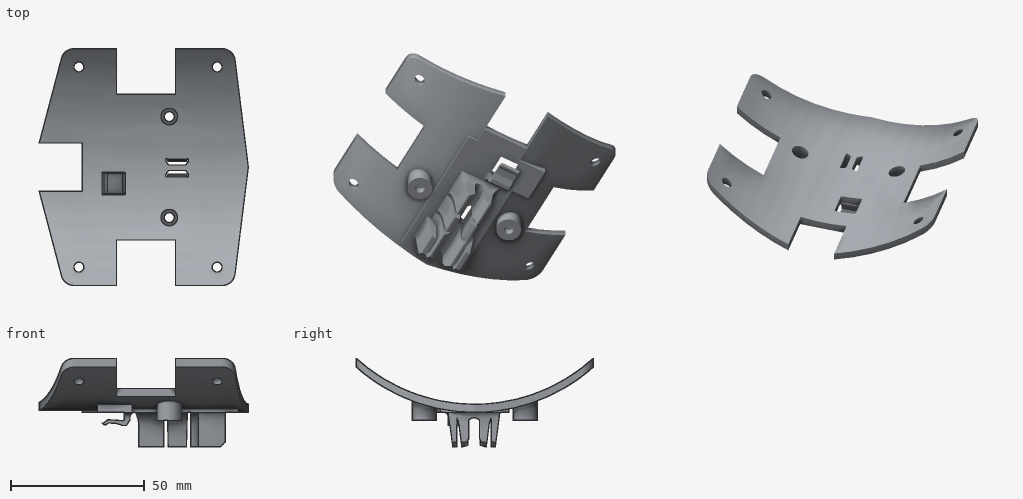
import cadquery as cq

LENGTH_X = 78.45
WIDTH_Y = 88.8
WALL = 3.0
INNER_RADIUS = 65.9
OUTER_RADIUS = 66.7
ABOVE = 26.65

HALF_WIDTH = WIDTH_Y / 2
CORNER_LEFT_X = 9.3
CORNER_RIGHT_X = 72.9
CORNER_RADIUS = 5.0
LEFT_NOTCH_DEPTH = 16.2
LEFT_NOTCH_HALF = 9.0
SIDE_NOTCH_X = (29.05, 51.1)
SIDE_NOTCH_Y = 27.4

CORNER_HOLES_X = (14.9, 66.7)
CORNER_HOLES_Y = 37.5
HOLE_DIAMETER = 3.6
BOSS_X = 48.8
BOSS_Y = 18.9
BOSS_DIAMETER = 9.15
BOSS_DROP = 3.0
HEAD_DIAMETER = 6.2
HEAD_SEAT_Z = 0

PAD_X = (21.85, 74.6)
PAD_HALF_Y = 12.8
NECK_X = (LEFT_NOTCH_DEPTH, PAD_X[0])
TAB_X = (PAD_X[0], 34.8)
TAB_Y = -19.7

RAIL_Y = -0.3
RAIL_DROP = 13.0
RAIL_TOP = 0.4
RAIL_INNER = 1.95
RAIL_TIP = 4.1
RAIL_OUTER = 4.6
RAIL_BEND = (5.7, -4.6)
RAIL_ROOT = 8.1
LEAD_IN_Z = -9.95
ARCH_SPRING_Z = -2.9
ARCH_TOP_Z = -2.1
ARCH_RADIUS = 2.8
FRONT_RAIL_X = (37.3, 46.7)
REAR_RAIL_X = (56.8, 69.8)
FLARE = 1.2
FLARE_DROP = 5.0

FINGER_X = (48.1, 55.6)
FINGER_TIP_X = (48.3, 55.3)
BARB = 2.3
BARB_END_Z = -12.35
OPENING_OUTER = 3.4
OPENING_SHOULDER = 2.5
OPENING_INNER = 1.1
OPENING_X = (47.5, 56.0)
OPENING_TAPER = 1.0

PLATE_X = (59.8, REAR_RAIL_X[1])
PLATE_INNER = 6.4
PLATE_ROOT = 9.6
PLATE_TIP = 8.0
PLATE_FLARE = 0.8
END_CHAMFER = 1.9

WINDOW_X = (23.6, 32.3)
WINDOW_Y = (-10.3, -1.95)
HOOK_Y = (-9.95, -2.3)
HOOK_STEM_X = (31.9, 34.1)
HOOK_HEEL_Z = -3.0
HOOK_ARM = (
    (31.9, -2.75),
    (31.3, -3.1),
    (27.7, -2.8),
    (25.7, -2.75),
    (24.3, -3.9),
    (23.6, -4.1),
    (24.25, -4.7),
    (25.05, -4.7),
    (26.0, -4.1),
    (28.8, -4.2),
    (31.2, -5.0),
    (32.7, -5.0),
)
HOOK_FILLET = 1.9


def box(x_range, y_range, z_range):
    size = [high - low for low, high in (x_range, y_range, z_range)]
    corner = (x_range[0], y_range[0], z_range[0])
    return cq.Workplane("XY").box(*size, centered=False).translate(corner)


def post(x, y, diameter, bottom, top):
    return cq.Workplane("XY", origin=(x, y, bottom)).circle(diameter / 2).extrude(top - bottom)


def long_cylinder(radius, lowest_z):
    """Solid cylinder along X, longer than the part, whose lowest line is at lowest_z."""
    plane = cq.Workplane("YZ", origin=(-0.9, 0, lowest_z + radius))
    return plane.circle(radius).extrude(LENGTH_X + 1.8)


def mirrored(solid):
    """The solid, drawn with Y = 0 as the gripper centre, plus its mirror image."""
    return solid.union(solid.mirror("XZ")).translate((0, RAIL_Y, 0))


def make_shell():
    plan = (
        cq.Workplane("XY")
        .polyline([
            (0, -LEFT_NOTCH_HALF),
            (CORNER_LEFT_X, -HALF_WIDTH),
            (CORNER_RIGHT_X, -HALF_WIDTH),
            (LENGTH_X, 0),
            (CORNER_RIGHT_X, HALF_WIDTH),
            (CORNER_LEFT_X, HALF_WIDTH),
            (0, LEFT_NOTCH_HALF),
            (LEFT_NOTCH_DEPTH, LEFT_NOTCH_HALF),
            (LEFT_NOTCH_DEPTH, -LEFT_NOTCH_HALF),
        ])
        .close()
        .extrude(ABOVE)
    )
    plan = plan.edges("|Z and (>Y or <Y)").fillet(CORNER_RADIUS)
    for side in (-1, 1):
        notch_y = sorted((side * SIDE_NOTCH_Y, side * WIDTH_Y))
        plan = plan.cut(box(SIDE_NOTCH_X, notch_y, (0, ABOVE)))
    return plan.intersect(long_cylinder(OUTER_RADIUS, 0))


def make_pad():
    pad = box(PAD_X, (-PAD_HALF_Y, PAD_HALF_Y), (0, WALL))
    neck = box(NECK_X, (-LEFT_NOTCH_HALF, LEFT_NOTCH_HALF), (0, WALL))
    return pad.union(neck).union(box(TAB_X, (TAB_Y, 0), (0, WALL)))


def rail_section(x):
    """Half section of a rail pair: an arched root with one tapering leg."""
    return (
        cq.Workplane("YZ", origin=(x, 0, 0))
        .moveTo(0, RAIL_TOP)
        .lineTo(0, ARCH_TOP_Z)
        .radiusArc((RAIL_INNER, ARCH_SPRING_Z), ARCH_RADIUS)
        .lineTo(RAIL_INNER, LEAD_IN_Z)
        .lineTo(RAIL_TIP, -RAIL_DROP)
        .lineTo(RAIL_OUTER, -RAIL_DROP)
        .lineTo(*RAIL_BEND)
        .tangentArcPoint((RAIL_ROOT, 0), relative=False)
        .lineTo(RAIL_ROOT, RAIL_TOP)
        .close()
    )


def make_front_rails():
    start = FRONT_RAIL_X[0] - FLARE
    rail = rail_section(start).extrude(FRONT_RAIL_X[1] - start)
    relief = (
        cq.Workplane("XZ", origin=(0, WIDTH_Y, 0))
        .moveTo(start, 0)
        .lineTo(start, -2 * RAIL_DROP)
        .lineTo(FRONT_RAIL_X[0], -2 * RAIL_DROP)
        .lineTo(FRONT_RAIL_X[0], -FLARE_DROP)
        .tangentArcPoint((start, 0), relative=False)
        .close()
        .extrude(2 * WIDTH_Y)
    )
    return mirrored(rail.cut(relief))


def end_chamfer():
    """Triangular prism that bevels the lower far end of the rear rails and plates."""
    end_x = PLATE_X[1]
    return (
        cq.Workplane("XZ", origin=(0, WIDTH_Y, 0))
        .polyline([
            (end_x - END_CHAMFER, -RAIL_DROP),
            (end_x, -RAIL_DROP),
            (end_x, -RAIL_DROP + END_CHAMFER),
        ])
        .close()
        .extrude(2 * WIDTH_Y)
    )


def make_rear_rails():
    rail = rail_section(REAR_RAIL_X[0]).extrude(REAR_RAIL_X[1] - REAR_RAIL_X[0])
    return mirrored(rail.cut(end_chamfer()))


def make_fingers():
    section = (
        cq.Workplane("YZ", origin=(FINGER_X[0], 0, 0))
        .moveTo(OPENING_OUTER, RAIL_TOP)
        .lineTo(BARB, LEAD_IN_Z)
        .lineTo(BARB, BARB_END_Z)
        .lineTo(RAIL_TIP, -RAIL_DROP)
        .lineTo(RAIL_OUTER, -RAIL_DROP)
        .lineTo(*RAIL_BEND)
        .tangentArcPoint((RAIL_ROOT, 0), relative=False)
        .lineTo(RAIL_ROOT, RAIL_TOP)
        .close()
        .extrude(FINGER_X[1] - FINGER_X[0])
    )
    taper = (
        cq.Workplane("XZ", origin=(0, WIDTH_Y, 0))
        .polyline([
            (FINGER_X[0], RAIL_TOP),
            (FINGER_X[1], RAIL_TOP),
            (FINGER_TIP_X[1], -RAIL_DROP),
            (FINGER_TIP_X[0], -RAIL_DROP),
        ])
        .close()
        .extrude(2 * WIDTH_Y)
    )
    return mirrored(section.intersect(taper))


def finger_openings():
    left, right = OPENING_X
    opening = (
        cq.Workplane("XY")
        .polyline([
            (left, OPENING_OUTER),
            (right, OPENING_OUTER),
            (right, OPENING_SHOULDER),
            (right - OPENING_TAPER, OPENING_INNER),
            (left + OPENING_TAPER, OPENING_INNER),
            (left, OPENING_SHOULDER),
        ])
        .close()
        .extrude(ABOVE)
    )
    return mirrored(opening)


def make_plates():
    plate = (
        cq.Workplane("YZ", origin=(PLATE_X[0], 0, 0))
        .moveTo(PLATE_INNER, RAIL_TOP)
        .lineTo(PLATE_ROOT + PLATE_FLARE, RAIL_TOP)
        .lineTo(PLATE_ROOT + PLATE_FLARE, 0)
        .radiusArc((PLATE_ROOT, -PLATE_FLARE), -PLATE_FLARE)
        .lineTo(PLATE_TIP, -RAIL_DROP)
        .lineTo(PLATE_INNER, -RAIL_DROP)
        .close()
        .extrude(PLATE_X[1] - PLATE_X[0])
    )
    return mirrored(plate.cut(end_chamfer()))


def make_hook():
    stem_left, stem_right = HOOK_STEM_X
    return (
        cq.Workplane("XZ", origin=(0, HOOK_Y[1], 0))
        .polyline([(stem_left, 0), *HOOK_ARM, (stem_right, HOOK_HEEL_Z), (stem_right, 0)])
        .close()
        .extrude(HOOK_Y[1] - HOOK_Y[0])
    )


def with_hook(body):
    """Add the hook, filleted into the pad on every side but the one facing the window."""
    stem_left, stem_right = HOOK_STEM_X
    margin = 0.1
    around_root = cq.selectors.BoxSelector(
        (stem_left + margin, HOOK_Y[0] - margin, -margin),
        (stem_right + margin, HOOK_Y[1] + margin, margin),
    )
    return body.union(make_hook()).edges(around_root).fillet(HOOK_FILLET)


def drill_holes(body):
    for side in (-1, 1):
        boss_y = side * BOSS_Y
        body = body.cut(post(BOSS_X, boss_y, HOLE_DIAMETER, -BOSS_DROP, ABOVE))
        body = body.cut(post(BOSS_X, boss_y, HEAD_DIAMETER, HEAD_SEAT_Z, ABOVE))
        for hole_x in CORNER_HOLES_X:
            body = body.cut(post(hole_x, side * CORNER_HOLES_Y, HOLE_DIAMETER, 0, ABOVE))
    return body


body = with_hook(make_shell().union(make_pad()))
for boss_y in (-BOSS_Y, BOSS_Y):
    body = body.union(post(BOSS_X, boss_y, BOSS_DIAMETER, -BOSS_DROP, ABOVE))
body = body.cut(long_cylinder(INNER_RADIUS, WALL))

body = body.cut(box(WINDOW_X, WINDOW_Y, (0, ABOVE)))
body = body.cut(finger_openings())
for lower_part in (make_front_rails(), make_fingers(), make_rear_rails(), make_plates()):
    body = body.union(lower_part)

result = drill_holes(body)